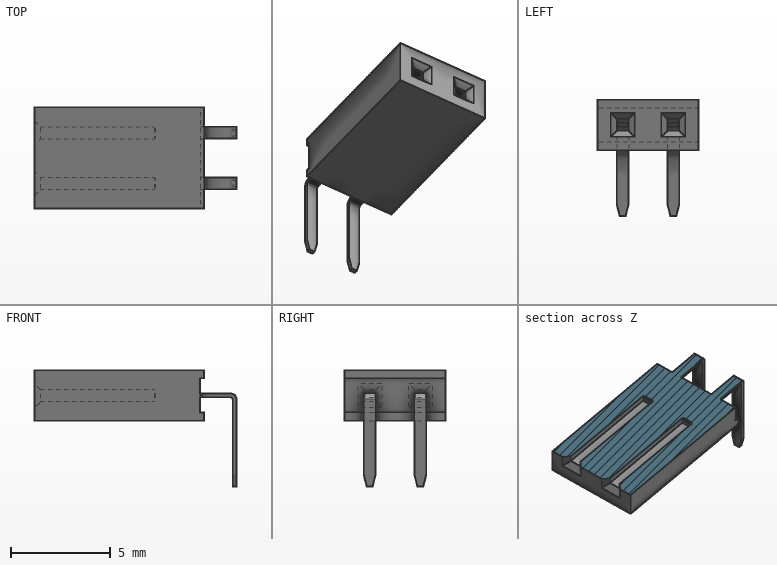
import cadquery as cq


contact_count = 2
pitch = 2.54
housing_length = 8.5
housing_width = contact_count * pitch
housing_height = pitch

lip_thickness = 0.42
recess_depth = 0.2
recess_height = housing_height - 2 * lip_thickness
recess_floor_x = housing_length - recess_depth

pin_width = 0.6
pin_thickness = 0.2
pin_reach = 1.63
pin_drop = 3.3
bend_inner_radius = 0.1
bend_outer_radius = bend_inner_radius + pin_thickness
pin_back_x = housing_length + pin_reach
pin_bottom_z = -housing_height / 2 - pin_drop
tip_width = 0.3
tip_length = 0.6
pin_embedment = 0.5

bore_size = pin_width
mouth_size = 2 * bore_size
lead_in_depth = (mouth_size - bore_size) / 2
bore_depth = 6.0
notch_floor_width = 0.5
notch_depth = (bore_size - notch_floor_width) / 2


def make_housing():
    body = cq.Workplane("XY").box(
        housing_length, housing_width, housing_height, centered=(False, True, True)
    )
    recess = cq.Workplane("XY").box(
        recess_depth, housing_width, recess_height, centered=(False, True, True)
    )
    return body.cut(recess.translate((recess_floor_x, 0, 0)))


def make_socket():
    """Cavity cut into the housing for one contact, centred on Y = 0."""
    lead_in = (
        cq.Workplane("YZ")
        .rect(mouth_size, mouth_size)
        .workplane(offset=lead_in_depth)
        .rect(bore_size, bore_size)
        .loft(ruled=True)
    )
    bore = (
        cq.Workplane("YZ", origin=(lead_in_depth, 0, 0))
        .rect(bore_size, bore_size)
        .extrude(bore_depth - lead_in_depth)
    )
    notch = (
        cq.Workplane("XY", origin=(bore_depth, 0, -pin_thickness / 2))
        .moveTo(0, -bore_size / 2)
        .lineTo(notch_depth, -notch_floor_width / 2)
        .lineTo(notch_depth, notch_floor_width / 2)
        .lineTo(0, bore_size / 2)
        .close()
        .extrude(pin_thickness)
    )
    return lead_in.union(bore).union(notch)


def make_pin():
    """Flat pin that leaves the recess, bends down and ends in a tapered tip."""
    start_x = recess_floor_x - pin_embedment
    top_z = pin_thickness / 2
    front_x = pin_back_x - pin_thickness
    strip = (
        cq.Workplane("XZ")
        .moveTo(start_x, top_z)
        .lineTo(pin_back_x - bend_outer_radius, top_z)
        .radiusArc((pin_back_x, top_z - bend_outer_radius), bend_outer_radius)
        .lineTo(pin_back_x, pin_bottom_z)
        .lineTo(front_x, pin_bottom_z)
        .lineTo(front_x, -top_z - bend_inner_radius)
        .radiusArc((front_x - bend_inner_radius, -top_z), -bend_inner_radius)
        .lineTo(start_x, -top_z)
        .close()
        .extrude(pin_width / 2, both=True)
    )
    taper_start_z = pin_bottom_z + tip_length
    pin_outline = (
        cq.Workplane("YZ", origin=(start_x, 0, 0))
        .moveTo(-pin_width / 2, top_z)
        .lineTo(-pin_width / 2, taper_start_z)
        .lineTo(-tip_width / 2, pin_bottom_z)
        .lineTo(tip_width / 2, pin_bottom_z)
        .lineTo(pin_width / 2, taper_start_z)
        .lineTo(pin_width / 2, top_z)
        .close()
        .extrude(pin_back_x - start_x)
    )
    return strip.intersect(pin_outline)


result = make_housing()
for index in range(contact_count):
    contact_y = (index - (contact_count - 1) / 2) * pitch
    result = result.cut(make_socket().translate((0, contact_y, 0)))
    result = result.union(make_pin().translate((0, contact_y, 0)))